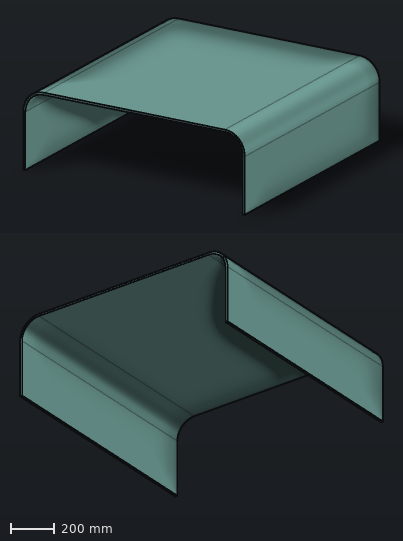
import cadquery as cq

width = 1200.0
depth = 1200.0
height = 400.0
sheet_thickness = 12.0
bend_radius = 110.0


def arch(arch_width, arch_height, corner_radius):
    """Solid block standing on Z = 0 with its two upper long edges rounded."""
    block = cq.Workplane("XY").box(arch_width, depth, arch_height, centered=(True, True, False))
    return block.edges("|Y and >Z").fillet(corner_radius)


outer_body = arch(width, height, bend_radius)

inner_space = arch(
    width - 2 * sheet_thickness,
    height - sheet_thickness,
    bend_radius - sheet_thickness,
)

result = outer_body.cut(inner_space)